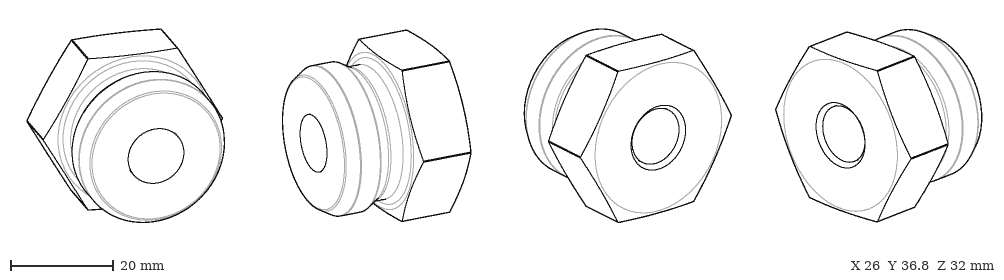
import cadquery as cq
import math

across_flats = 32.0
corner_diameter = 36.83
head_length = 12.0
outer_face_radius = 15.47
inner_face_radius = 15.65
head_chamfer_angle = 15.0

total_length = 26.0
neck_radius = 26.9 / 2
collar_radius = 30.0 / 2
collar_length = 4.4
cone_angle = 30.0
neck_fillet = 1.18
collar_fillet = 0.4

bore_diameter = 11.5
mouth_diameter = 13.35


def revolve_about_x(points):
    """Turn a profile of (x, radius) points about the X axis."""
    return cq.Workplane("XY").polyline(points).close().revolve(360, (0, 0, 0), (1, 0, 0))


def make_head():
    """Hexagon with flats at +Z and -Z, its corners turned and chamfered."""
    circumscribed = across_flats / math.cos(math.pi / 6)
    hexagon = cq.Workplane("YZ").polygon(6, circumscribed).extrude(head_length)
    corner_radius = corner_diameter / 2
    slope = math.tan(math.radians(head_chamfer_angle))
    outer_chamfer = (corner_radius - outer_face_radius) * slope
    inner_chamfer = (corner_radius - inner_face_radius) * slope
    envelope = revolve_about_x([
        (0, 0),
        (0, outer_face_radius),
        (outer_chamfer, corner_radius),
        (head_length - inner_chamfer, corner_radius),
        (head_length, inner_face_radius),
        (head_length, 0),
    ])
    return hexagon.intersect(envelope)


def make_body():
    """Neck and double-coned collar, with rounded transitions."""
    cone_length = (collar_radius - neck_radius) / math.tan(math.radians(cone_angle))
    collar_end = total_length - cone_length
    collar_start = collar_end - collar_length
    neck_end = collar_start - cone_length
    body = revolve_about_x([
        (head_length, 0),
        (head_length, neck_radius),
        (neck_end, neck_radius),
        (collar_start, collar_radius),
        (collar_end, collar_radius),
        (total_length, neck_radius),
        (total_length, 0),
    ])

    def edge_at(x):
        margin = 0.05
        box = cq.selectors.BoxSelector(
            (x - margin, -corner_diameter, -corner_diameter),
            (x + margin, corner_diameter, corner_diameter),
            boundingbox=True,
        )
        return body.edges(box)

    body = edge_at(neck_end).fillet(neck_fillet)
    for x in (collar_start, collar_end, total_length):
        body = edge_at(x).fillet(collar_fillet)
    return body


def make_head_fillet():
    """Concave ring rounding the corner between neck and head."""
    diagonal = neck_fillet * (1 - math.sqrt(0.5))
    return (
        cq.Workplane("XY")
        .moveTo(head_length, neck_radius)
        .lineTo(head_length + neck_fillet, neck_radius)
        .threePointArc(
            (head_length + diagonal, neck_radius + diagonal),
            (head_length, neck_radius + neck_fillet),
        )
        .close()
        .revolve(360, (0, 0, 0), (1, 0, 0))
    )


def make_bore():
    """Through bore with a 45 degree countersink at the outer head face."""
    bore_radius = bore_diameter / 2
    mouth_radius = mouth_diameter / 2
    return revolve_about_x([
        (0, 0),
        (0, mouth_radius),
        (mouth_radius - bore_radius, bore_radius),
        (total_length, bore_radius),
        (total_length, 0),
    ])


result = make_head().union(make_body()).union(make_head_fillet()).cut(make_bore())